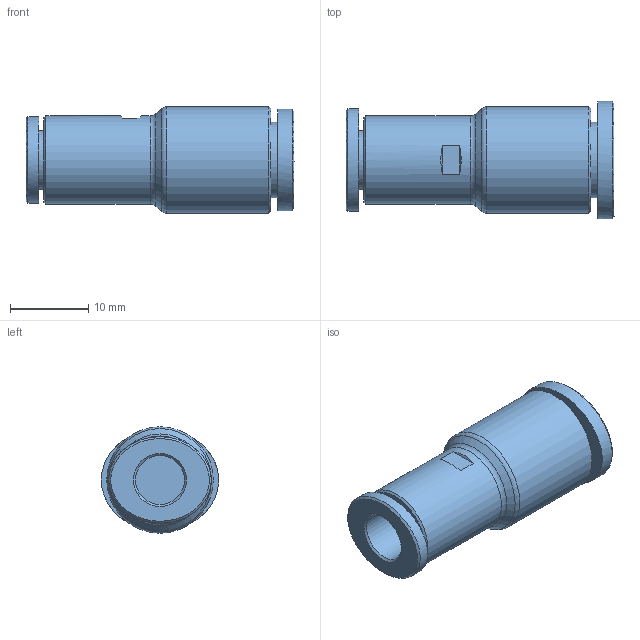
import cadquery as cq
import math

total_length = 34.25
small_collar_thickness = 1.6
body_start = 2.3
small_body_end = 15.85
large_body_start = 18.0
body_end = 31.3
large_collar_start = 32.2

small_body_diameter = 11.25
large_body_diameter = 13.6
small_neck_diameter = 7.5
large_neck_diameter = 9.6

small_collar_width = 13.1
small_collar_height = 11.05
large_collar_width = 15.0
large_collar_height = 13.0
collar_chamfer = 0.25

body_chamfer = 0.25
cone_angle = math.radians(40)
concave_length = 0.7

bore_diameter = 6.25
bore_chamfer = 0.25
bore_depth = small_body_end

pocket_center = 13.42
pocket_floor_length = 2.25
pocket_depth = 0.3
pocket_end_slope = 0.17


def arc_point(center, radius, angle):
    """Point on a profile arc, with the angle turning from radially outward toward +X."""
    return (center[0] + radius * math.sin(angle), center[1] + radius * math.cos(angle))


def convex_arc_length(step_height):
    """Axial length of the convex arc that makes both arcs tangent to the cone."""
    step_length = large_body_start - small_body_end
    corner_run = step_height / math.tan(cone_angle)
    tangent_ratio = math.tan(cone_angle / 2) / math.sin(cone_angle)
    return (step_length - corner_run) / tangent_ratio - concave_length


def make_body():
    """Revolve the two necks and the stepped body as one profile."""
    small_radius = small_body_diameter / 2
    large_radius = large_body_diameter / 2
    small_neck_radius = small_neck_diameter / 2
    large_neck_radius = large_neck_diameter / 2

    convex_length = convex_arc_length(large_radius - small_radius)
    concave_radius = concave_length / math.sin(cone_angle)
    convex_radius = convex_length / math.sin(cone_angle)
    concave_center = (small_body_end, small_radius + concave_radius)
    convex_center = (large_body_start, large_radius - convex_radius)

    profile = (
        cq.Workplane("XY")
        .moveTo(0, 0)
        .lineTo(0, small_neck_radius)
        .lineTo(body_start, small_neck_radius)
        .lineTo(body_start, small_radius - body_chamfer)
        .lineTo(body_start + body_chamfer, small_radius)
        .lineTo(small_body_end, small_radius)
        .threePointArc(
            arc_point(concave_center, concave_radius, math.pi - cone_angle / 2),
            arc_point(concave_center, concave_radius, math.pi - cone_angle),
        )
        .lineTo(*arc_point(convex_center, convex_radius, -cone_angle))
        .threePointArc(
            arc_point(convex_center, convex_radius, -cone_angle / 2),
            (large_body_start, large_radius),
        )
        .lineTo(body_end - body_chamfer, large_radius)
        .lineTo(body_end, large_radius - body_chamfer)
        .lineTo(body_end, large_neck_radius)
        .lineTo(total_length, large_neck_radius)
        .lineTo(total_length, 0)
        .close()
    )
    return profile.revolve(360, (0, 0, 0), (1, 0, 0))


def make_collar(start, thickness, width, height, outer_face):
    """Oval disc with a chamfer around its outer face."""
    disc = cq.Workplane("YZ", origin=(start, 0, 0)).ellipse(width / 2, height / 2).extrude(thickness)
    return disc.faces(outer_face).edges().chamfer(collar_chamfer)


def make_bore():
    radius = bore_diameter / 2
    return (
        cq.Workplane("XY")
        .polyline([
            (0, 0),
            (0, radius + bore_chamfer),
            (bore_chamfer, radius),
            (bore_depth, radius),
            (bore_depth, 0),
        ])
        .close()
        .revolve(360, (0, 0, 0), (1, 0, 0))
    )


def make_pocket():
    top = small_body_diameter / 2
    half_floor = pocket_floor_length / 2
    half_top = half_floor + pocket_end_slope
    return (
        cq.Workplane("XZ")
        .polyline([
            (pocket_center - half_top, top),
            (pocket_center - half_floor, top - pocket_depth),
            (pocket_center + half_floor, top - pocket_depth),
            (pocket_center + half_top, top),
        ])
        .close()
        .extrude(small_body_diameter / 2, both=True)
    )


small_collar = make_collar(0, small_collar_thickness, small_collar_width, small_collar_height, "<X")
large_collar = make_collar(
    large_collar_start,
    total_length - large_collar_start,
    large_collar_width,
    large_collar_height,
    ">X",
)
result = make_body().union(small_collar).union(large_collar).cut(make_bore()).cut(make_pocket())